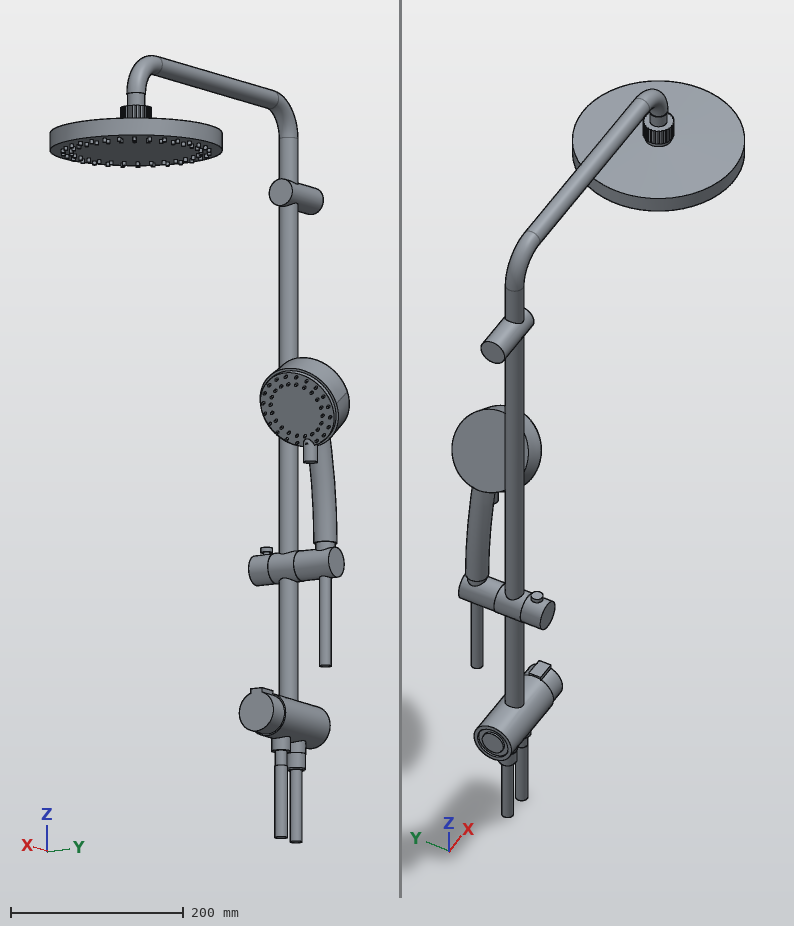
import cadquery as cq
import math


PIPE_DIAMETER = 22.0
TOTAL_HEIGHT = 876.0
ARM_REACH = 339.0
BEND_RADIUS = 40.0
ARM_AXIS_Z = TOTAL_HEIGHT - PIPE_DIAMETER / 2
BEND_END_Z = ARM_AXIS_Z - BEND_RADIUS
NECK_DIAMETER = 20.0

WALL_X = -52.0
BRACKET_DIAMETER = 31.5
BRACKET_FRONT_X = 17.5
BRACKET_Z = 759.0

MIXER_DIAMETER = 50.0
MIXER_Z = 140.0
MIXER_FRONT_X = 47.0
END_GROOVE_INNER_DIAMETER = 28.0
END_GROOVE_OUTER_DIAMETER = 40.0
END_GROOVE_DEPTH = 3.0
KNOB_DIAMETER = 46.0
KNOB_FRONT_X = 72.0
KNOB_LUG_WIDTH = 16.0
KNOB_LUG_TOP_Z = 167.0

PIPE_OFFSET = 17.0
HOSE_DIAMETER = 14.0
HOSE_TOP_Z = 84.0
HOSE_NUT_DIAMETER = 23.0
HOSE_NUT_BOTTOM_Z = 103.0
HOSE_SLEEVE_DIAMETER = 22.0
HOSE_SLEEVE_CHAMFER = 2.0
INLET_DIAMETER = 15.0
INLET_NECK_DIAMETER = 14.0
INLET_NECK_BOTTOM_Z = 84.0
INLET_COLLAR_DIAMETER = 22.0
INLET_COLLAR_BOTTOM_Z = 102.0

HEAD_DIAMETER = 200.0
HEAD_BOTTOM_Z = 758.5
HEAD_RIM_Z = 779.0
HEAD_CROWN_Z = 782.0
CROWN_DIAMETER = 31.5
NUT_DIAMETER = 36.0
NUT_BOTTOM_Z = 788.0
NUT_TOP_Z = 808.5
NUT_GROOVES = 24
GROOVE_WIDTH = 2.0
NOZZLE_DIAMETER = 4.3
NOZZLE_LENGTH = 4.0
NOZZLES_PER_RING = 30
NOZZLE_RING_RADII = (75.0, 85.0)

SLIDER_Z = 321.0
SLIDER_DIAMETER = 35.0
CLAMP_DIAMETER = 36.0
CLAMP_HALF_LENGTH = 17.5
SLIDER_BACK_Y = -44.0
SLIDER_CUP_Y = 65.0
BUTTON_Y = -30.0
BUTTON_DIAMETER = 14.0
BUTTON_STEM_DIAMETER = 8.0
BUTTON_BOTTOM_Z = 341.0
BUTTON_TOP_Z = 346.0

HAND_Y = 50.0
HAND_HOSE_BOTTOM_Z = 200.0
HANDLE_NECK_DIAMETER = 23.0
HANDLE_DIAMETER = 27.0
HANDLE_BOTTOM_Z = 344.0
HANDLE_BEND_RADIUS = 482.0
HANDLE_BEND_ANGLE = 18.0
SPRAY_TILT = 34.0
SPRAY_BACK_X = 31.0
SPRAY_BACK_Z = 513.0
SPRAY_BACK_DIAMETER = 97.0
SPRAY_FRONT_DIAMETER = 101.0
SPRAY_THICKNESS = 33.0
FACE_DIAMETER = 95.0
FACE_THICKNESS = 5.0
SPRAY_NOZZLE_DIAMETER = 2.8
SPRAY_NOZZLE_LENGTH = 3.5
SPRAY_NOZZLES_PER_RING = 20
SPRAY_NOZZLE_RING_RADII = (33.0, 43.0)
STUB_DIAMETER = 17.0
STUB_X = 33.0
STUB_BOTTOM_Z = 434.5
STUB_TOP_Z = 469.0


def cylinder_x(diameter, start_x, end_x, z):
    return cq.Workplane("YZ", origin=(start_x, 0, z)).circle(diameter / 2).extrude(end_x - start_x)


def cylinder_y(diameter, start_y, end_y, z):
    return cq.Workplane("XZ", origin=(0, end_y, z)).circle(diameter / 2).extrude(end_y - start_y)


def cylinder_z(diameter, bottom_z, top_z, x=0.0, y=0.0):
    return cq.Workplane("XY", origin=(x, y, bottom_z)).circle(diameter / 2).extrude(top_z - bottom_z)


def ring_points(radius, count):
    step = 2 * math.pi / count
    return [(radius * math.sin(i * step), radius * math.cos(i * step)) for i in range(count)]


def bent_pipe():
    shift = BEND_RADIUS * math.sin(math.radians(45))
    path = (
        cq.Workplane("XZ")
        .moveTo(0, MIXER_Z)
        .lineTo(0, BEND_END_Z)
        .threePointArc((BEND_RADIUS - shift, BEND_END_Z + shift), (BEND_RADIUS, ARM_AXIS_Z))
        .lineTo(ARM_REACH - BEND_RADIUS, ARM_AXIS_Z)
        .threePointArc((ARM_REACH - BEND_RADIUS + shift, BEND_END_Z + shift), (ARM_REACH, BEND_END_Z))
    )
    pipe = cq.Workplane("XY", origin=(0, 0, MIXER_Z)).circle(PIPE_DIAMETER / 2).sweep(path)
    neck = cylinder_z(NECK_DIAMETER, NUT_TOP_Z, BEND_END_Z, ARM_REACH)
    return pipe.union(neck)


def mixer_body():
    valve = cylinder_x(MIXER_DIAMETER, WALL_X, MIXER_FRONT_X, MIXER_Z)
    groove = (
        cq.Workplane("YZ", origin=(WALL_X, 0, MIXER_Z))
        .circle(END_GROOVE_OUTER_DIAMETER / 2)
        .circle(END_GROOVE_INNER_DIAMETER / 2)
        .extrude(END_GROOVE_DEPTH)
    )
    return valve.cut(groove)


def knob():
    grip = cylinder_x(KNOB_DIAMETER, MIXER_FRONT_X, KNOB_FRONT_X, MIXER_Z)
    lug = (
        cq.Workplane("XY", origin=(MIXER_FRONT_X, 0, MIXER_Z))
        .rect(KNOB_FRONT_X - MIXER_FRONT_X, KNOB_LUG_WIDTH, centered=(False, True))
        .extrude(KNOB_LUG_TOP_Z - MIXER_Z)
    )
    return grip.union(lug)


def hose_outlet():
    hose = cylinder_z(HOSE_DIAMETER, 0, HOSE_TOP_Z, -PIPE_OFFSET)
    sleeve = cylinder_z(HOSE_SLEEVE_DIAMETER, HOSE_TOP_Z, HOSE_NUT_BOTTOM_Z, -PIPE_OFFSET)
    sleeve = sleeve.faces("<Z").chamfer(HOSE_SLEEVE_CHAMFER)
    nut = cylinder_z(HOSE_NUT_DIAMETER, HOSE_NUT_BOTTOM_Z, MIXER_Z, -PIPE_OFFSET)
    return hose.union(sleeve).union(nut)


def inlet_pipe():
    pipe = cylinder_z(INLET_DIAMETER, 0, INLET_NECK_BOTTOM_Z, PIPE_OFFSET)
    neck = cylinder_z(INLET_NECK_DIAMETER, INLET_NECK_BOTTOM_Z, MIXER_Z, PIPE_OFFSET)
    collar = cylinder_z(INLET_COLLAR_DIAMETER, INLET_COLLAR_BOTTOM_Z, MIXER_Z, PIPE_OFFSET)
    return pipe.union(neck).union(collar)


def wall_bracket():
    barrel = cylinder_x(BRACKET_DIAMETER, WALL_X, BRACKET_FRONT_X, BRACKET_Z)
    pipe_hole = cylinder_z(PIPE_DIAMETER, BRACKET_Z - BRACKET_DIAMETER, BRACKET_Z + BRACKET_DIAMETER)
    return barrel.cut(pipe_hole)


def mixer():
    pipe_seat = cylinder_z(PIPE_DIAMETER, MIXER_Z, MIXER_Z + MIXER_DIAMETER)
    body = mixer_body().union(knob()).union(hose_outlet()).union(inlet_pipe())
    return body.cut(pipe_seat)


def overhead_head():
    disc = (
        cq.Workplane("XZ", origin=(ARM_REACH, 0, 0))
        .moveTo(0, HEAD_BOTTOM_Z)
        .lineTo(HEAD_DIAMETER / 2, HEAD_BOTTOM_Z)
        .lineTo(HEAD_DIAMETER / 2, HEAD_RIM_Z)
        .lineTo(CROWN_DIAMETER / 2, HEAD_CROWN_Z)
        .lineTo(CROWN_DIAMETER / 2, NUT_BOTTOM_Z)
        .lineTo(0, NUT_BOTTOM_Z)
        .close()
        .revolve(360, (0, 0), (0, 1))
    )
    grooves = (
        cq.Workplane("XY", origin=(ARM_REACH, 0, NUT_BOTTOM_Z))
        .pushPoints(ring_points(NUT_DIAMETER / 2, NUT_GROOVES))
        .circle(GROOVE_WIDTH / 2)
        .extrude(NUT_TOP_Z - NUT_BOTTOM_Z)
    )
    nut = cylinder_z(NUT_DIAMETER, NUT_BOTTOM_Z, NUT_TOP_Z, ARM_REACH).cut(grooves)
    head = disc.union(nut)
    for radius in NOZZLE_RING_RADII:
        nozzles = (
            cq.Workplane("XY", origin=(ARM_REACH, 0, HEAD_BOTTOM_Z))
            .pushPoints(ring_points(radius, NOZZLES_PER_RING))
            .circle(NOZZLE_DIAMETER / 2)
            .extrude(-NOZZLE_LENGTH)
        )
        head = head.union(nozzles)
    return head


def slider_barrel():
    barrel = cylinder_y(SLIDER_DIAMETER, SLIDER_BACK_Y, SLIDER_CUP_Y, SLIDER_Z)
    clamp = cylinder_y(CLAMP_DIAMETER, -CLAMP_HALF_LENGTH, CLAMP_HALF_LENGTH, SLIDER_Z)
    stem = cylinder_z(BUTTON_STEM_DIAMETER, SLIDER_Z, BUTTON_BOTTOM_Z, 0, BUTTON_Y)
    button = cylinder_z(BUTTON_DIAMETER, BUTTON_BOTTOM_Z, BUTTON_TOP_Z, 0, BUTTON_Y)
    pipe_hole = cylinder_z(PIPE_DIAMETER, SLIDER_Z - CLAMP_DIAMETER, SLIDER_Z + CLAMP_DIAMETER)
    return barrel.union(clamp).union(stem).union(button).cut(pipe_hole)


def spray_back_plane():
    tilt = math.radians(SPRAY_TILT)
    return cq.Plane(
        origin=(SPRAY_BACK_X, HAND_Y, SPRAY_BACK_Z),
        xDir=(0, 1, 0),
        normal=(math.cos(tilt), 0, -math.sin(tilt)),
    )


def handle():
    bend = math.radians(HANDLE_BEND_ANGLE)

    def bend_point(angle):
        return (
            HANDLE_BEND_RADIUS * (1 - math.cos(angle)),
            HANDLE_BOTTOM_Z + HANDLE_BEND_RADIUS * math.sin(angle),
        )

    path = (
        cq.Workplane("XZ", origin=(0, HAND_Y, 0))
        .moveTo(0, HANDLE_BOTTOM_Z)
        .threePointArc(bend_point(bend / 2), bend_point(bend))
    )
    grip = cq.Workplane("XY", origin=(0, HAND_Y, HANDLE_BOTTOM_Z)).circle(HANDLE_DIAMETER / 2).sweep(path)
    neck = cylinder_z(HANDLE_NECK_DIAMETER, SLIDER_Z, HANDLE_BOTTOM_Z, 0, HAND_Y)
    hose = cylinder_z(HOSE_DIAMETER, HAND_HOSE_BOTTOM_Z, SLIDER_Z, 0, HAND_Y)
    behind_head = cq.Workplane(spray_back_plane()).circle(SPRAY_BACK_DIAMETER / 2).extrude(-HANDLE_DIAMETER)
    return grip.cut(behind_head).union(neck).union(hose)


def spray_head():
    back = spray_back_plane()
    front = SPRAY_THICKNESS
    shell = (
        cq.Workplane(back)
        .circle(SPRAY_BACK_DIAMETER / 2)
        .workplane(offset=front)
        .circle(SPRAY_FRONT_DIAMETER / 2)
        .loft()
    )
    face = cq.Workplane(back).workplane(offset=front).circle(FACE_DIAMETER / 2).extrude(FACE_THICKNESS)
    head = shell.union(face)
    for radius in SPRAY_NOZZLE_RING_RADII:
        nozzles = (
            cq.Workplane(back)
            .workplane(offset=front + FACE_THICKNESS)
            .pushPoints(ring_points(radius, SPRAY_NOZZLES_PER_RING))
            .circle(SPRAY_NOZZLE_DIAMETER / 2)
            .extrude(SPRAY_NOZZLE_LENGTH)
        )
        head = head.union(nozzles)
    return head


def hand_shower():
    stub = cylinder_z(STUB_DIAMETER, STUB_BOTTOM_Z, STUB_TOP_Z, STUB_X, HAND_Y)
    return handle().union(spray_head()).union(stub)


def shower_arm():
    return bent_pipe().union(overhead_head())


def slider():
    return slider_barrel().union(hand_shower())


result = cq.Compound.makeCompound(
    [
        shower_arm().solids().val(),
        wall_bracket().solids().val(),
        mixer().solids().val(),
        slider().solids().val(),
    ]
)